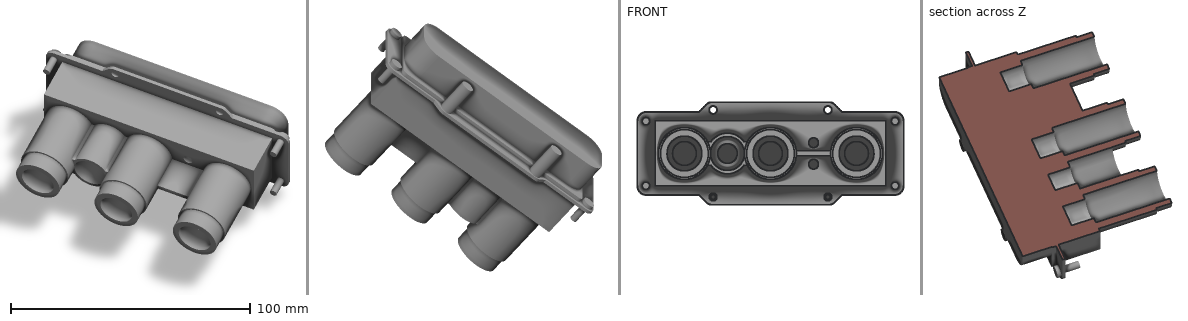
import cadquery as cq

flange_thickness = 1.4
rim_thickness = 1.7
bezel_depth = 13.2
block_depth = 18.6
tube_length = 33.1
block_face_y = -block_depth
tube_tip_y = block_face_y - tube_length

flange_width = 111.5
flange_height = 34.9
flange_corner_radius = 4.0
ear_tip_z = 21.5
ear_top_half_width = 25.8
ear_rise = ear_tip_z - flange_height / 2
ear_base_half_width = ear_top_half_width + ear_rise
ear_corner_radius = 3.0

block_width = 96.4
block_height = 27.2
bezel_height = 24.2
bezel_corner_radius = 8.0
rim_width = 97.0
rim_height = 32.2
rim_corner_radius = 2.1

tube_pitch = 36.0
tube_diameter = 21.7
tip_diameter = 20.0
tip_length = 7.0
tube_bore_diameter = 14.6
tube_pilot_diameter = 10.0

earth_x = -tube_pitch / 2
earth_length = 20.0
earth_diameter = 17.0
earth_bore_diameter = 14.2
earth_pilot_diameter = 8.2
earth_web_height = 9.7
pilot_depth = 10.0

fin_x = tube_pitch / 2
fin_length = 15.1
fin_thickness = 2.1
signal_hole_diameter = 4.1
signal_hole_z = 4.5
signal_hole_depth = 10.0

screw_x = 52.1
screw_z = 13.5
screw_diameter = 3.1
screw_length = 7.5
screw_head_diameter = 5.3
ear_hole_x = 24.0
ear_hole_z = 18.2
ear_hole_diameter = 3.2
standoff_diameter = 5.6
standoff_length = 14.2
rivet_diameter = ear_hole_diameter
rivet_height = 0.7
rivet_bore_diameter = 2.0
rivet_bore_depth = 10.0


def box_along_y(x, width, height, y_start, y_end):
    """Box centred on (x, z = 0) spanning y_start to y_end, with y_start < y_end."""
    box = cq.Workplane("XY").box(width, y_end - y_start, height, centered=(True, False, True))
    return box.translate((x, y_start, 0))


def rod_along_y(x, z, diameter, y_start, y_end):
    """Cylinder with its axis along Y spanning y_start to y_end."""
    solid = cq.Solid.makeCylinder(
        diameter / 2, y_end - y_start, cq.Vector(x, y_start, z), cq.Vector(0, 1, 0)
    )
    return cq.Workplane(obj=solid)


def make_flange():
    """Rounded plate with a tapered ear on its upper and lower long edges."""
    plate = box_along_y(0, flange_width, flange_height, 0, flange_thickness)
    plate = plate.edges("|Y").fillet(flange_corner_radius)
    ears = (
        cq.Workplane("XZ")
        .moveTo(-ear_base_half_width, flange_height / 2)
        .lineTo(-ear_top_half_width, ear_tip_z)
        .lineTo(ear_top_half_width, ear_tip_z)
        .lineTo(ear_base_half_width, flange_height / 2)
        .lineTo(ear_base_half_width, -flange_height / 2)
        .lineTo(ear_top_half_width, -ear_tip_z)
        .lineTo(-ear_top_half_width, -ear_tip_z)
        .lineTo(-ear_base_half_width, -flange_height / 2)
        .close()
        .extrude(-flange_thickness)
    )
    ear_corners = ears.edges("|Y").edges("<Z or >Z")
    return plate.union(ear_corners.fillet(ear_corner_radius))


def make_body():
    """Block in front of the flange, with the rim and the rounded bezel behind it."""
    rim_back_y = flange_thickness + rim_thickness
    block = box_along_y(0, block_width, block_height, block_face_y, 0)
    rim = box_along_y(0, rim_width, rim_height, flange_thickness, rim_back_y)
    rim = rim.edges("|Y").fillet(rim_corner_radius)
    bezel = box_along_y(0, block_width, bezel_height, rim_back_y, rim_back_y + bezel_depth)
    bezel = bezel.edges("|Y").fillet(bezel_corner_radius)
    return block.union(rim).union(bezel)


def make_power_tube(x):
    """Tube with a stepped-down tip."""
    shoulder_y = tube_tip_y + tip_length
    tube = rod_along_y(x, 0, tube_diameter, shoulder_y, block_face_y)
    return tube.union(rod_along_y(x, 0, tip_diameter, tube_tip_y, shoulder_y))


def make_earth_tube():
    """Short tube with a web that joins it to the power tubes on both sides."""
    end_y = block_face_y - earth_length
    tube = rod_along_y(earth_x, 0, earth_diameter, end_y, block_face_y)
    web = box_along_y(earth_x, tube_pitch, earth_web_height, end_y, block_face_y)
    return tube.union(web)


def make_fin():
    """Flat fin spanning the gap between the middle and right power tubes."""
    fin_width = tube_pitch - tube_bore_diameter
    return box_along_y(fin_x, fin_width, fin_thickness, block_face_y - fin_length, block_face_y)


def make_contact_bore(x, bore_diameter, pilot_diameter, end_y):
    """Bore from the tube end to the block face, then a narrower pilot into the block."""
    bore = rod_along_y(x, 0, bore_diameter, end_y, block_face_y)
    pilot = rod_along_y(x, 0, pilot_diameter, block_face_y, block_face_y + pilot_depth)
    return bore.union(pilot)


def make_screw(x, z):
    """Screw with its head behind the flange and its shank through it."""
    shank = rod_along_y(x, z, screw_diameter, -screw_length, flange_thickness)
    head_back_y = flange_thickness + rim_thickness
    return shank.union(rod_along_y(x, z, screw_head_diameter, flange_thickness, head_back_y))


def make_standoff(x):
    """Standoff behind the lower ear, its hollow rivet end standing proud of the front."""
    z = -ear_hole_z
    pillar = rod_along_y(x, z, standoff_diameter, flange_thickness, flange_thickness + standoff_length)
    rivet = rod_along_y(x, z, rivet_diameter, -rivet_height, flange_thickness)
    return pillar.union(rivet)


result = make_flange().union(make_body())

for tube_x in (-tube_pitch, 0, tube_pitch):
    result = result.union(make_power_tube(tube_x))
result = result.union(make_earth_tube()).union(make_fin())

for side in (-1, 1):
    for level in (-1, 1):
        result = result.union(make_screw(side * screw_x, level * screw_z))
    result = result.union(make_standoff(side * ear_hole_x))

for tube_x in (-tube_pitch, 0, tube_pitch):
    result = result.cut(make_contact_bore(tube_x, tube_bore_diameter, tube_pilot_diameter, tube_tip_y))
earth_end_y = block_face_y - earth_length
result = result.cut(make_contact_bore(earth_x, earth_bore_diameter, earth_pilot_diameter, earth_end_y))

signal_hole_end_y = block_face_y + signal_hole_depth
for level in (-1, 1):
    hole_z = level * signal_hole_z
    result = result.cut(rod_along_y(fin_x, hole_z, signal_hole_diameter, block_face_y, signal_hole_end_y))

rivet_bore_end_y = rivet_bore_depth - rivet_height
for side in (-1, 1):
    hole_x = side * ear_hole_x
    result = result.cut(rod_along_y(hole_x, ear_hole_z, ear_hole_diameter, 0, flange_thickness))
    result = result.cut(
        rod_along_y(hole_x, -ear_hole_z, rivet_bore_diameter, -rivet_height, rivet_bore_end_y)
    )